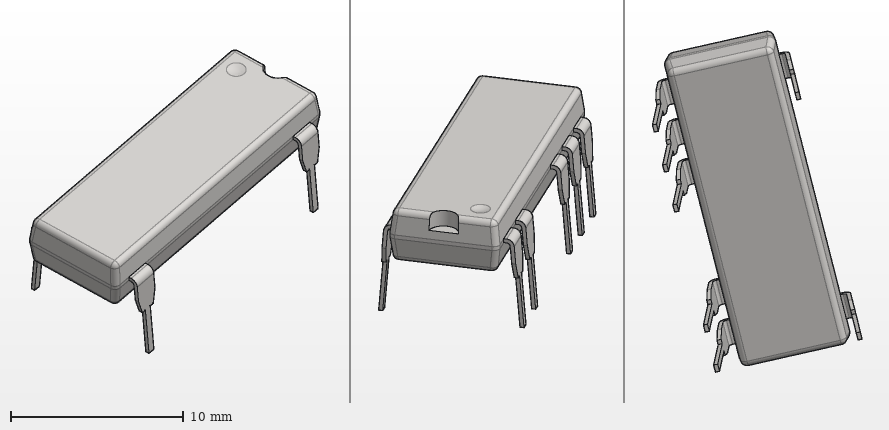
import cadquery as cq
import math

body_length = 19.18
body_width = 6.62
body_height = 3.3
total_height = 7.38
lead_span = 8.77
sheet_thickness = 0.25

draft_angle = 7.0
edge_radius = 0.38

notch_radius = 0.88
notch_depth = 1.0
dimple_radius = 0.58
dimple_depth = 0.1
dimple_x = -1.78
dimple_y = 7.95

row_length = 15.25
positions_per_row = 7
lead_pitch = row_length / (positions_per_row - 1)
left_positions = [-3, -2, -1, 2, 3]
right_positions = [-3, 3]
bend_outer_radius = 0.46
bend_start = 0.17
shoulder_width = 1.53
shoulder_end_width = 1.02
pin_width = 0.46
narrowing_drop = 3.07
shoulder_drop = 4.09

band_top = sheet_thickness / 2
body_top = body_height / 2
tip_z = body_top - total_height
narrowing_z = body_top - narrowing_drop
shoulder_z = body_top - shoulder_drop


def make_body_half():
    """Upper tapered half with rounded edges, plus the straight band below it."""
    half = (
        cq.Workplane("XY", origin=(0, 0, band_top))
        .rect(body_width, body_length)
        .extrude(body_top - band_top, taper=draft_angle)
    )
    half = half.edges("not <Z").fillet(edge_radius)
    band_outline = half.faces("<Z").val().outerWire()
    band = cq.Solid.extrudeLinear(band_outline, [], cq.Vector(0, 0, -sheet_thickness))
    return half.union(cq.Workplane(band))


def make_body():
    upper = make_body_half()
    body = upper.union(upper.mirror("XY"))
    notch = (
        cq.Workplane("XY", origin=(0, body_length / 2, body_top))
        .circle(notch_radius)
        .extrude(-notch_depth)
    )
    sphere_radius = (dimple_radius**2 + dimple_depth**2) / (2 * dimple_depth)
    sphere_z = body_top - dimple_depth + sphere_radius
    dimple = cq.Workplane("XY", origin=(dimple_x, dimple_y, sphere_z)).sphere(sphere_radius)
    return body.cut(notch).cut(dimple)


def make_lead():
    """Lead on the +X side, centred on Y = 0: a bent sheet trimmed to the lead's outline."""
    side_x = body_width / 2
    bend_x = side_x + bend_start
    bend_z = band_top - bend_outer_radius
    tip_x = lead_span / 2
    bend_inner_radius = bend_outer_radius - sheet_thickness

    reach = tip_x - bend_x
    drop = bend_z - tip_z
    splay = math.atan2(reach, drop) - math.asin(bend_outer_radius / math.hypot(reach, drop))
    tip_inner_x = tip_x - sheet_thickness / math.cos(splay)

    def on_bend(radius, angle):
        return (bend_x + radius * math.cos(angle), bend_z + radius * math.sin(angle))

    middle_angle = (math.pi / 2 + splay) / 2
    sheet = (
        cq.Workplane("XZ")
        .moveTo(side_x, band_top)
        .lineTo(bend_x, band_top)
        .threePointArc(on_bend(bend_outer_radius, middle_angle), on_bend(bend_outer_radius, splay))
        .lineTo(tip_x, tip_z)
        .lineTo(tip_inner_x, tip_z)
        .lineTo(*on_bend(bend_inner_radius, splay))
        .threePointArc(on_bend(bend_inner_radius, middle_angle), (bend_x, band_top - sheet_thickness))
        .lineTo(side_x, band_top - sheet_thickness)
        .close()
        .extrude(shoulder_width / 2, both=True)
    )
    half_outline = [
        (shoulder_width / 2, band_top),
        (shoulder_width / 2, narrowing_z),
        (shoulder_end_width / 2, shoulder_z),
        (pin_width / 2, shoulder_z),
        (pin_width / 2, tip_z),
    ]
    other_half = [(-y, z) for y, z in reversed(half_outline)]
    outline = cq.Workplane("YZ").polyline(half_outline + other_half).close().extrude(tip_x)
    return sheet.intersect(outline)


body = make_body()

right_lead = make_lead()
left_lead = right_lead.mirror("YZ")
leads = []
for lead, positions in ((right_lead, right_positions), (left_lead, left_positions)):
    for position in positions:
        leads.append(lead.translate((0, position * lead_pitch, 0)).val())

result = cq.Compound.makeCompound([body.val(), *leads])